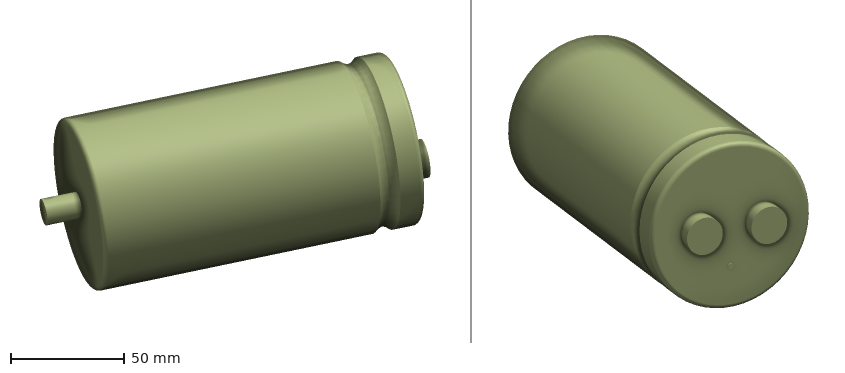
import cadquery as cq

total_length = 170.9
can_diameter = 78.0
can_radius = can_diameter / 2

stud_diameter = 12.0
stud_length = 16.0

post_diameter = 17.5
post_length = 6.8
post_spacing = 31.5

vent_diameter = 2.7
vent_height = 0.5
vent_offset = 19.0

rim_height = 11.5
groove_width = 9.2
groove_depth = 2.4
upper_flank_bow = 0.5
lower_flank_bow = 0.3

edge_radius = 2.0

stud_end = -total_length / 2
can_bottom = stud_end + stud_length
can_top = total_length / 2 - post_length
groove_top = can_top - rim_height
groove_middle = groove_top - groove_width / 2
groove_bottom = groove_top - groove_width


def rod(diameter, start, length, x=0.0, z=0.0):
    """Round bar running towards +Y from the given station."""
    base_center = cq.Vector(x, start, z)
    along_y = cq.Vector(0, 1, 0)
    return cq.Workplane(cq.Solid.makeCylinder(diameter / 2, length, base_center, along_y))


def can():
    """Rounded-edge cylinder with the crimp groove turned into it."""
    body = rod(can_diameter, can_bottom, can_top - can_bottom)
    body = body.edges("<Y or >Y").fillet(edge_radius)
    groove = (
        cq.Workplane("XY")
        .moveTo(can_radius, groove_bottom)
        .sagittaArc((can_radius - groove_depth, groove_middle), lower_flank_bow)
        .sagittaArc((can_radius, groove_top), upper_flank_bow)
        .close()
        .revolve(360, (0, 0, 0), (0, 1, 0))
    )
    return body.cut(groove)


result = can().union(rod(stud_diameter, stud_end, stud_length))
for side in (-1, 1):
    result = result.union(rod(post_diameter, can_top, post_length, x=side * post_spacing / 2))
result = result.union(rod(vent_diameter, can_top, vent_height, z=-vent_offset))